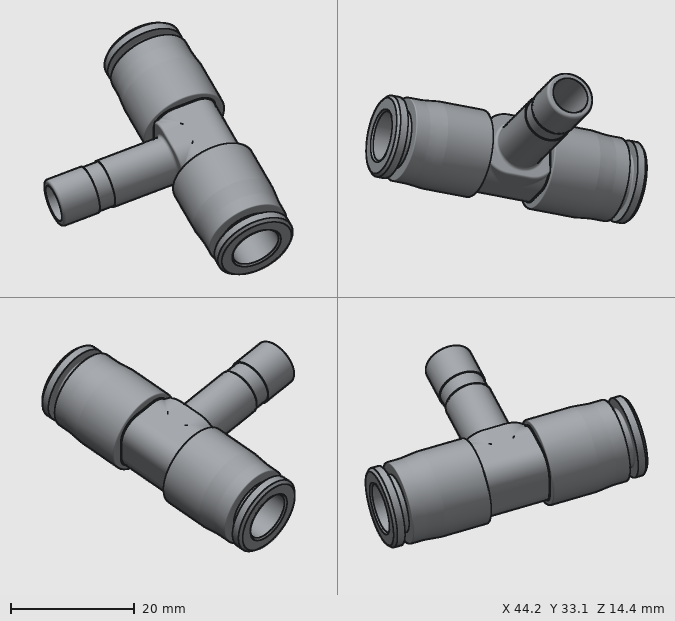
import cadquery as cq
import math


PORT_END = 22.1
SLEEVE_START = 5.4
SLEEVE_RADIUS = 7.2
SLEEVE_EDGE_FILLET = 0.2
TAPER_START = 13.45
TAPER_END = 16.45
CAP_END = 18.87
CAP_RADIUS = 6.9
CAP_EDGE_FILLET = 0.18
NECK_RADIUS = 4.9
NECK_ROOT_FILLET = 0.18
FLANGE_START = 20.3
FLANGE_RADIUS = 6.7
FLANGE_CHAMFER = 0.5

PASSAGE_RADIUS = 3.45
TUBE_BORE_RADIUS = 4.05
TUBE_BORE_START = 7.05
MOUTH_CHAMFER = 0.3
SEAT_CHAMFER = 0.3

BLOCK_HALF = 5.45
RUN_CORNER_RADIUS = 3.55
BRANCH_CORNER_RADIUS = 4.4
BRANCH_FLAT_HALF = 1.9
BRANCH_HALF_WIDTH = BRANCH_FLAT_HALF + BRANCH_CORNER_RADIUS
BRANCH_EDGE_FILLET = 0.35
VALLEY_FILLET = 0.45
COLLAR_WIDTH = 0.15
COLLAR_SLOPE = 45.0

STEM_END = 25.9
STEM_RADIUS = 4.02
STEM_BORE_RADIUS = 3.05
STEM_TIP_FILLET = 0.45
STEM_ROOT_FILLET = 0.5
GROOVE_START = 16.75
GROOVE_END = 19.5
GROOVE_RADIUS = 3.85


def fillet_mid(radius):
    """Distance of a quarter arc's midpoint from each of the two faces it is tangent to."""
    return radius * (1 - math.sqrt(0.5))


def port_outer():
    """Outside of the +X port, revolved about the X axis."""
    chamfer_start = PORT_END - FLANGE_CHAMFER
    sleeve_fillet_mid = fillet_mid(SLEEVE_EDGE_FILLET)
    cap_fillet_mid = fillet_mid(CAP_EDGE_FILLET)
    root_fillet_mid = fillet_mid(NECK_ROOT_FILLET)
    profile = (
        cq.Workplane("XY")
        .moveTo(SLEEVE_START, 0)
        .lineTo(SLEEVE_START, SLEEVE_RADIUS - SLEEVE_EDGE_FILLET)
        .threePointArc(
            (SLEEVE_START + sleeve_fillet_mid, SLEEVE_RADIUS - sleeve_fillet_mid),
            (SLEEVE_START + SLEEVE_EDGE_FILLET, SLEEVE_RADIUS),
        )
        .lineTo(TAPER_START, SLEEVE_RADIUS)
        .lineTo(TAPER_END, CAP_RADIUS)
        .lineTo(CAP_END - CAP_EDGE_FILLET, CAP_RADIUS)
        .threePointArc(
            (CAP_END - cap_fillet_mid, CAP_RADIUS - cap_fillet_mid),
            (CAP_END, CAP_RADIUS - CAP_EDGE_FILLET),
        )
        .lineTo(CAP_END, NECK_RADIUS)
        .lineTo(FLANGE_START - NECK_ROOT_FILLET, NECK_RADIUS)
        .threePointArc(
            (FLANGE_START - root_fillet_mid, NECK_RADIUS + root_fillet_mid),
            (FLANGE_START, NECK_RADIUS + NECK_ROOT_FILLET),
        )
        .lineTo(FLANGE_START, FLANGE_RADIUS)
        .lineTo(chamfer_start, FLANGE_RADIUS)
        .lineTo(PORT_END, FLANGE_RADIUS - FLANGE_CHAMFER)
        .lineTo(PORT_END, 0)
        .close()
    )
    return profile.revolve(360, (0, 0, 0), (1, 0, 0))


def port_bore():
    """Stepped bore of the +X port, from the crossing to the mouth."""
    profile = (
        cq.Workplane("XY")
        .moveTo(0, 0)
        .lineTo(0, PASSAGE_RADIUS)
        .lineTo(TUBE_BORE_START - SEAT_CHAMFER, PASSAGE_RADIUS)
        .lineTo(TUBE_BORE_START, PASSAGE_RADIUS + SEAT_CHAMFER)
        .lineTo(TUBE_BORE_START, TUBE_BORE_RADIUS)
        .lineTo(PORT_END - MOUTH_CHAMFER, TUBE_BORE_RADIUS)
        .lineTo(PORT_END, TUBE_BORE_RADIUS + MOUTH_CHAMFER)
        .lineTo(PORT_END, 0)
        .close()
    )
    return profile.revolve(360, (0, 0, 0), (1, 0, 0))


def both_ports(shape):
    """The given +X shape joined with its mirror image on the -X side."""
    return shape.union(shape.mirror("YZ"))


def run_bar():
    """Rounded bar along X that joins the two sleeves."""
    return (
        cq.Workplane("YZ")
        .rect(2 * BLOCK_HALF, 2 * BLOCK_HALF)
        .extrude(SLEEVE_START, both=True)
        .edges("|X")
        .fillet(RUN_CORNER_RADIUS)
    )


def collar():
    """Sloped step that rings the run bar where it meets the face of the +X sleeve."""
    side = 2 * (BLOCK_HALF + COLLAR_WIDTH)
    outline = cq.Sketch().rect(side, side).vertices().fillet(RUN_CORNER_RADIUS + COLLAR_WIDTH)
    sleeve_face = cq.Workplane("YZ", origin=(SLEEVE_START, 0, 0))
    return sleeve_face.placeSketch(outline).extrude(-COLLAR_WIDTH, taper=COLLAR_SLOPE)


def branch_bar():
    """Wider rounded bar along Y that carries the stem, trimmed between the sleeves."""
    bar = (
        cq.Workplane("XZ")
        .rect(2 * BRANCH_HALF_WIDTH, 2 * BLOCK_HALF)
        .extrude(BLOCK_HALF)
        .edges("|Y")
        .fillet(BRANCH_CORNER_RADIUS)
    )
    gap = cq.Workplane("XY").box(2 * SLEEVE_START, 2 * STEM_END, 2 * SLEEVE_RADIUS)
    return bar.intersect(gap)


def block():
    """Both bars joined, with fillets in the valleys between them and along the branch front."""
    bars = run_bar().union(branch_bar())
    bars = bars.edges("%BSPLINE").fillet(VALLEY_FILLET)
    return bars.faces("<Y").edges("not |Z").fillet(BRANCH_EDGE_FILLET)


def stem():
    """Grooved tube along -Y with a flared root and a rounded tip."""
    tip_fillet_mid = fillet_mid(STEM_TIP_FILLET)
    root_fillet_mid = fillet_mid(STEM_ROOT_FILLET)
    profile = (
        cq.Workplane("XY")
        .moveTo(0, 0)
        .lineTo(STEM_RADIUS + STEM_ROOT_FILLET, 0)
        .lineTo(STEM_RADIUS + STEM_ROOT_FILLET, -BLOCK_HALF)
        .threePointArc(
            (STEM_RADIUS + root_fillet_mid, -BLOCK_HALF - root_fillet_mid),
            (STEM_RADIUS, -BLOCK_HALF - STEM_ROOT_FILLET),
        )
        .lineTo(STEM_RADIUS, -GROOVE_START)
        .lineTo(GROOVE_RADIUS, -GROOVE_START)
        .lineTo(GROOVE_RADIUS, -GROOVE_END)
        .lineTo(STEM_RADIUS, -GROOVE_END)
        .lineTo(STEM_RADIUS, -STEM_END + STEM_TIP_FILLET)
        .threePointArc(
            (STEM_RADIUS - tip_fillet_mid, -STEM_END + tip_fillet_mid),
            (STEM_RADIUS - STEM_TIP_FILLET, -STEM_END),
        )
        .lineTo(0, -STEM_END)
        .close()
    )
    return profile.revolve(360, (0, 0, 0), (0, 1, 0))


def stem_bore():
    """Straight bore of the stem, reaching the run passage."""
    return cq.Workplane("XZ").circle(STEM_BORE_RADIUS).extrude(STEM_END)


outside = (
    both_ports(port_outer())
    .union(block())
    .union(both_ports(collar()))
    .union(stem())
)
fitting = outside.cut(both_ports(port_bore())).cut(stem_bore())
result = fitting.solids()